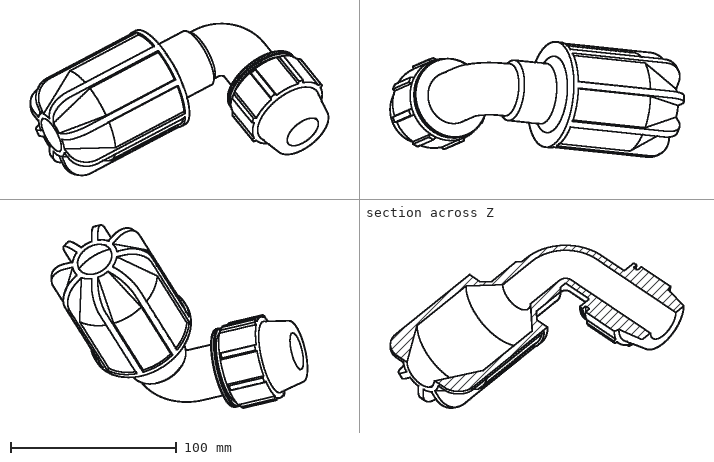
import cadquery as cq
import math

overall_width = 113.0

bore_radius = 22.5 / 2
pipe_radius = 15.8
bend_radius = 16.3
arm_y = 128.1
bend_start_y = arm_y - bend_radius

socket_radius = 30.4
socket_cone_length = 26.4
hub_radius = 14.4
collar_radius = 64.0 / 2
collar_bottom_y = 75.6
collar_top_y = 78.7
shoulder_base_radius = 23.2
neck_radius = 36.7 / 2
neck_bottom_y = collar_top_y + shoulder_base_radius - neck_radius
pipe_bottom_y = 107.7
neck_top_y = pipe_bottom_y - (neck_radius - pipe_radius)

mouth_radius = 11.0
socket_wall = hub_radius - mouth_radius
cavity_radius = socket_radius - socket_wall
cavity_shoulder_drop = socket_wall * math.sqrt(2)
cavity_cylinder_top_y = collar_top_y + shoulder_base_radius - cavity_shoulder_drop - cavity_radius
cavity_top_y = cavity_cylinder_top_y + cavity_radius - bore_radius

socket_rib_count = 8
socket_rib_width = 4.1
socket_rib_corner_radius = 12.6

flange_radius = 48.6 / 2
flange_start_x = 34.8
flange_width = 2.6
flange_bevel_length = 0.6
flange_bevel_drop = 0.3
flange_end_x = flange_start_x + flange_width

nut_neck_radius = 43.3 / 2
grip_radius = 25.2
grip_start_x = 40.3
grip_end_x = 64.1
nose_start_x = 65.0
grip_length = nose_start_x - grip_start_x
nose_start_radius = 22.1
nose_end_x = overall_width - collar_radius
nose_end_radius = 18.9
nose_edge_fillet = 0.9

grip_rib_count = 8
grip_rib_base_width = 4.3
grip_rib_top_width = 3.4
grip_rib_base_radius = 24.5
grip_rib_tip_radius = 26.7


def revolve_about_socket_axis(points):
    """Revolve (radius, y) points about the Y axis."""
    return cq.Workplane("XY").polyline(points).close().revolve(360, (0, 0, 0), (0, 1, 0))


def revolve_about_arm_axis(points):
    """Revolve (x, radius) points about the arm axis."""
    plane = cq.Workplane("XY", origin=(0, arm_y, 0))
    return plane.polyline(points).close().revolve(360, (0, 0, 0), (1, 0, 0))


def make_socket():
    return revolve_about_socket_axis([
        (0, 0),
        (hub_radius, 0),
        (socket_radius, socket_cone_length),
        (socket_radius, collar_bottom_y),
        (collar_radius, collar_bottom_y),
        (collar_radius, collar_top_y),
        (shoulder_base_radius, collar_top_y),
        (neck_radius, neck_bottom_y),
        (neck_radius, neck_top_y),
        (pipe_radius, pipe_bottom_y),
        (pipe_radius, bend_start_y),
        (0, bend_start_y),
    ])


def make_socket_ribs():
    """Radial plates trimmed to a round-cornered cylinder around the socket."""
    envelope = (
        cq.Workplane("XZ").circle(collar_radius).extrude(-collar_top_y)
        .faces("<Y").edges().fillet(socket_rib_corner_radius)
    )
    plates = cq.Workplane("XY")
    for index in range(socket_rib_count // 2):
        plate = cq.Workplane("XY").box(
            2 * collar_radius, collar_top_y, socket_rib_width, centered=(True, False, True)
        )
        angle = index * 360 / socket_rib_count
        plates = plates.union(plate.rotate((0, 0, 0), (0, 1, 0), angle))
    return plates.intersect(envelope)


def make_bend(radius):
    """Quarter-turn round bar from the socket axis to the arm axis."""
    return (
        cq.Workplane("XZ", origin=(0, bend_start_y, 0)).circle(radius)
        .revolve(90, (bend_radius, 1.5, 0), (bend_radius, 0, 0))
    )


def make_arm():
    """Plain pipe ending in a thin flange with bevelled rim edges."""
    rim_edge_radius = flange_radius - flange_bevel_drop
    return revolve_about_arm_axis([
        (bend_radius, 0),
        (bend_radius, pipe_radius),
        (flange_start_x, pipe_radius),
        (flange_start_x, rim_edge_radius),
        (flange_start_x + flange_bevel_length, flange_radius),
        (flange_end_x - flange_bevel_length, flange_radius),
        (flange_end_x, rim_edge_radius),
        (flange_end_x, 0),
    ])


def make_nut_core():
    """Nut neck and tapered nose, without the grip around them."""
    core = revolve_about_arm_axis([
        (flange_end_x, 0),
        (flange_end_x, nut_neck_radius),
        (nose_start_x, nut_neck_radius),
        (nose_start_x, nose_start_radius),
        (nose_end_x, nose_end_radius),
        (nose_end_x, 0),
    ])
    return core.faces(">X").edges().fillet(nose_edge_fillet)


def make_grip_rib():
    """Trapezoidal bar on the +Z side of the grip."""
    return (
        cq.Workplane("YZ", origin=(grip_start_x, arm_y, 0))
        .polyline([
            (-grip_rib_base_width / 2, grip_rib_base_radius),
            (grip_rib_base_width / 2, grip_rib_base_radius),
            (grip_rib_top_width / 2, grip_rib_tip_radius),
            (-grip_rib_top_width / 2, grip_rib_tip_radius),
        ])
        .close().extrude(grip_length)
    )


def make_grip():
    """Ribbed cylinder with 45-degree rib ends at the elbow and one steep cone at the nose."""
    grip = cq.Workplane("YZ", origin=(grip_start_x, arm_y, 0)).circle(grip_radius).extrude(grip_length)
    for index in range(grip_rib_count):
        angle = (index + 0.5) * 360 / grip_rib_count
        grip = grip.union(make_grip_rib().rotate((0, arm_y, 0), (1, arm_y, 0), angle))

    envelope_height = 2 * (grip_rib_tip_radius - grip_radius)
    envelope_radius = grip_radius + envelope_height
    end_slope = (nose_start_x - grip_end_x) / (grip_radius - nose_start_radius)
    envelope = revolve_about_arm_axis([
        (grip_start_x, 0),
        (grip_start_x, grip_radius),
        (grip_start_x + envelope_height, envelope_radius),
        (grip_end_x - envelope_height * end_slope, envelope_radius),
        (nose_start_x, nose_start_radius),
        (nose_start_x, 0),
    ])
    return grip.intersect(envelope)


def make_bore():
    """Socket cavity, elbow passage and arm passage, open at both ends."""
    cavity = revolve_about_socket_axis([
        (0, 0),
        (mouth_radius, 0),
        (cavity_radius, socket_cone_length),
        (cavity_radius, cavity_cylinder_top_y),
        (bore_radius, cavity_top_y),
        (bore_radius, bend_start_y),
        (0, bend_start_y),
    ])
    arm_bore = (
        cq.Workplane("YZ", origin=(bend_radius, arm_y, 0))
        .circle(bore_radius).extrude(nose_end_x - bend_radius)
    )
    return cavity.union(make_bend(bore_radius)).union(arm_bore)


outer = make_socket().union(make_socket_ribs()).union(make_bend(pipe_radius))
outer = outer.union(make_arm()).union(make_nut_core()).union(make_grip())
result = outer.cut(make_bore())